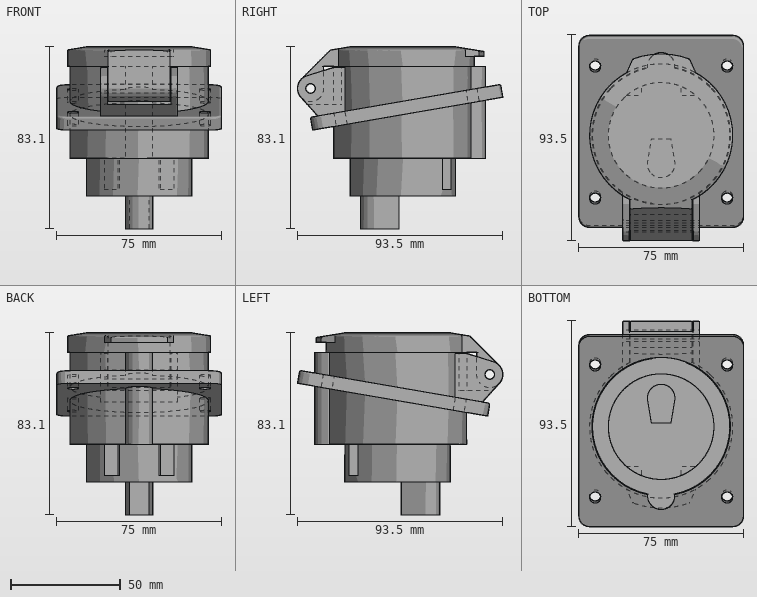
import cadquery as cq
import math


housing_radius = 31.5
housing_height = 42.0
housing_edge_round = 0.3
keyway_radius = 6.2

flange_width = 75.0
flange_length = 87.9
flange_thickness = 6.0
flange_tilt = 9.8
flange_centre_y = 1.2
flange_centre_z = 26.4
flange_corner_radius = 5.0
flange_edge_round = 0.9
screw_hole_diameter = 5.05
screw_spacing_x = 60.0
screw_spacing_y = 61.0

hinge_y = -42.0
hinge_z = 32.0
barrel_radius = 6.0
hinge_hole_diameter = 4.2
ear_outer_x = 17.5
ear_inner_x = 14.5
ear_underside_angle = 48
ear_top_gap = 0.4
ear_kink_y = -31.4
ear_foot_z = 16.8
ear_edge_round = 0.5
slot_floor_z = 24.6

lid_radius = 32.5
lid_height = 9.0
lid_flat_radius = 24.0
lid_rim_drop = 1.4
lid_edge_round = 0.6
arm_half_width = 14.1
tab_radius = 37.0
tab_tip_half_width = 12.9
tab_root_half_width = 15.7
tab_underside = 4.6

insert_radius = 24.0
insert_height = 17.0
notch_y_near = 18.0
notch_y_far = 22.0
notch_floor_x = 9.0
notch_height = 14
post_radius = 6.3
post_centre_y = -13.0
post_end_y = -1.7
post_height = 15.05
post_taper = 9.5

tolerance = 0.01

ear_top_z = housing_height - ear_top_gap
lid_top_z = housing_height + lid_height
cone_slope = lid_rim_drop / (lid_radius - lid_flat_radius)
cone_foot_z = lid_top_z - cone_slope * (tab_radius - lid_flat_radius)
barrel_diagonal = barrel_radius * math.sqrt(0.5)
arm_back_y = hinge_y + barrel_radius


def side_profile(points_before, arc_start, arc_middle, arc_end, points_after, half_width):
    """Solid of width 2 * half_width about X = 0, from a (y, z) outline with one round end."""
    outline = cq.Workplane("YZ").moveTo(*points_before[0])
    for point in points_before[1:]:
        outline = outline.lineTo(*point)
    outline = outline.lineTo(*arc_start).threePointArc(arc_middle, arc_end)
    for point in points_after:
        outline = outline.lineTo(*point)
    return outline.close().extrude(half_width, both=True)


def hinge_cylinder(radius, half_width):
    """Cylinder along X on the hinge axis."""
    return cq.Workplane("YZ").center(hinge_y, hinge_z).circle(radius).extrude(half_width, both=True)


def ear_block():
    """Hinge ears with the web below them: sloping top, round nose and sloping underside."""
    across = ear_kink_y - hinge_y
    up = ear_top_z - hinge_z
    kink_distance = math.hypot(across, up)
    tangent_angle = math.atan2(up, across) + math.acos(barrel_radius / kink_distance)
    upper_tangent = (
        hinge_y + barrel_radius * math.cos(tangent_angle),
        hinge_z + barrel_radius * math.sin(tangent_angle),
    )
    nose = (hinge_y - barrel_radius, hinge_z)
    underside = math.radians(ear_underside_angle)
    lower_tangent = (
        hinge_y - barrel_radius * math.sin(underside),
        hinge_z - barrel_radius * math.cos(underside),
    )
    foot_y = lower_tangent[0] + (lower_tangent[1] - ear_foot_z) / math.tan(underside)
    block = side_profile(
        [(0, ear_foot_z), (0, ear_top_z), (ear_kink_y, ear_top_z)],
        upper_tangent, nose, lower_tangent,
        [(foot_y, ear_foot_z)],
        ear_outer_x,
    )
    block = block.faces("<X or >X").edges("not (>Y or <Z)").fillet(ear_edge_round)
    slot_length = -hinge_y + barrel_radius
    slot = (
        cq.Workplane("XY")
        .box(2 * ear_inner_x, slot_length, ear_top_z - slot_floor_z, centered=(True, False, False))
        .translate((0, -slot_length, slot_floor_z))
    )
    return block.cut(slot).cut(hinge_cylinder(hinge_hole_diameter / 2, ear_outer_x))


def flange():
    """Rounded plate with four screw holes, tilted about X so that its +Y end is higher."""
    plate = (
        cq.Workplane("XY")
        .rect(flange_width, flange_length)
        .extrude(-flange_thickness)
        .edges("|Z")
        .fillet(flange_corner_radius)
        .faces(">Z")
        .edges()
        .fillet(flange_edge_round)
    )
    holes = (
        cq.Workplane("XY")
        .rect(screw_spacing_x, screw_spacing_y, forConstruction=True)
        .vertices()
        .circle(screw_hole_diameter / 2)
        .extrude(-flange_thickness)
    )
    plate = plate.cut(holes).rotate((0, 0, 0), (1, 0, 0), flange_tilt)
    return plate.translate((0, flange_centre_y, flange_centre_z))


def keyway_rib():
    """Round-backed rib along the +Y side of the housing."""
    nose = cq.Workplane("XY").center(0, housing_radius).circle(keyway_radius).extrude(housing_height)
    root = (
        cq.Workplane("XY")
        .center(0, housing_radius / 2)
        .rect(2 * keyway_radius, housing_radius)
        .extrude(housing_height)
    )
    return nose.union(root)


def make_housing():
    """Housing barrel with its keyway rib, mounting flange and hinge ears."""
    barrel = cq.Workplane("XY").circle(housing_radius).extrude(housing_height)
    barrel = barrel.union(keyway_rib()).faces("<Z").edges().fillet(housing_edge_round)
    return barrel.union(flange()).union(ear_block())


def lid_tab():
    """Grip tab on the +Y side of the lid, narrowing to an arc about the main axis."""
    tip_y = math.sqrt(tab_radius**2 - tab_tip_half_width**2)
    root_y = math.sqrt(lid_radius**2 - tab_root_half_width**2)
    return (
        cq.Workplane("XY")
        .workplane(offset=housing_height + tab_underside)
        .moveTo(-tab_root_half_width, 0)
        .lineTo(-tab_root_half_width, root_y)
        .lineTo(-tab_tip_half_width, tip_y)
        .threePointArc((0, tab_radius), (tab_tip_half_width, tip_y))
        .lineTo(tab_root_half_width, root_y)
        .lineTo(tab_root_half_width, 0)
        .close()
        .extrude(lid_height - tab_underside)
    )


def lid_arm():
    """Arm from the lid down to the hinge barrel, with a 45 degree outer slope."""
    lower_front = (hinge_y - barrel_diagonal, hinge_z - barrel_diagonal)
    upper_front = (hinge_y - barrel_diagonal, hinge_z + barrel_diagonal)
    slope_top_y = upper_front[0] + lid_top_z - upper_front[1]
    return side_profile(
        [(0, lid_top_z), (0, housing_height), (arm_back_y, housing_height)],
        (arm_back_y, hinge_z), lower_front, upper_front,
        [(slope_top_y, lid_top_z)],
        arm_half_width,
    )


def cone_envelope():
    """Solid of revolution, flat in the middle and conical outside, that bounds the top of the lid."""
    reach = 2 * lid_radius
    return (
        cq.Workplane("XZ")
        .lineTo(reach, 0)
        .lineTo(reach, lid_top_z - cone_slope * (reach - lid_flat_radius))
        .lineTo(lid_flat_radius, lid_top_z)
        .lineTo(0, lid_top_z)
        .close()
        .revolve(360, (0, 0, 0), (0, 1, 0))
    )


def is_rounded_lid_edge(edge):
    """True for the outer rim of the conical top and for the side edges of the arm."""
    middle = edge.Center()
    on_arm_side = abs(abs(middle.x) - arm_half_width) < tolerance and middle.y < arm_back_y + tolerance
    on_arm_crest = abs(middle.x) < tolerance and middle.y < -lid_radius
    below_flat = edge.BoundingBox().zmax < lid_top_z - tolerance
    on_cone_rim = below_flat and middle.z > cone_foot_z - tolerance and edge.geomType() != "LINE"
    return on_arm_side or (on_cone_rim and not on_arm_crest)


def make_lid():
    """Round lid with a conical rim, its grip tab and its hinge arm."""
    disc = cq.Workplane("XY").workplane(offset=housing_height).circle(lid_radius).extrude(lid_height)
    lid = disc.union(lid_tab()).union(lid_arm()).intersect(cone_envelope())
    lid = lid.edges().filter(is_rounded_lid_edge).fillet(lid_edge_round)
    return lid.cut(hinge_cylinder(hinge_hole_diameter / 2, arm_half_width))


def make_insert():
    """Round contact insert with a notch on each side, open towards the housing."""
    insert = cq.Workplane("XY").circle(insert_radius).extrude(-insert_height)
    for side in (-1, 1):
        notch = (
            cq.Workplane("XY")
            .box(insert_radius, notch_y_far - notch_y_near, notch_height, centered=(True, False, False))
            .translate((side * (notch_floor_x + insert_radius / 2), notch_y_near, -notch_height))
        )
        insert = insert.cut(notch)
    return insert


def make_post():
    """Post with a round -Y side and two flanks, tangent to it, that taper to a flat +Y end."""
    taper = math.radians(post_taper)
    tangent_x = post_radius * math.cos(taper)
    tangent_y = post_centre_y + post_radius * math.sin(taper)
    end_x = tangent_x - (post_end_y - tangent_y) * math.tan(taper)
    return (
        cq.Workplane("XY")
        .workplane(offset=-insert_height)
        .moveTo(-end_x, post_end_y)
        .lineTo(-tangent_x, tangent_y)
        .threePointArc((0, post_centre_y - post_radius), (tangent_x, tangent_y))
        .lineTo(end_x, post_end_y)
        .close()
        .extrude(-post_height)
    )


housing = make_housing()
lid = make_lid()
insert = make_insert()
post = make_post()

result = cq.Compound.makeCompound([housing.val(), lid.val(), insert.val(), post.val()])